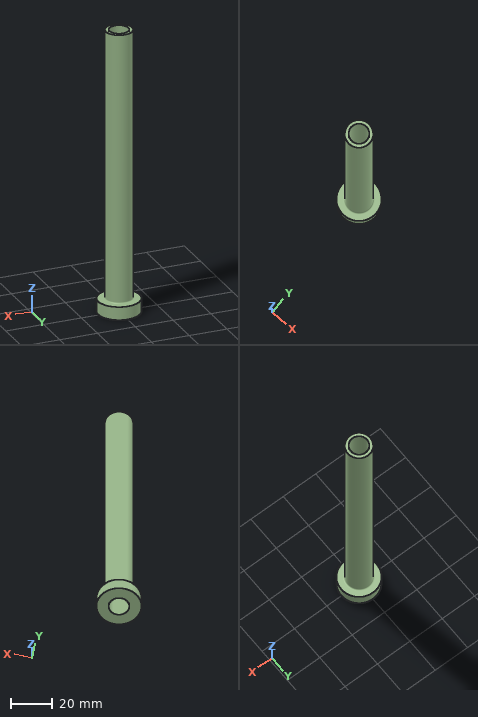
import cadquery as cq

total_length = 150.0
head_diameter = 22.0
head_height = 7.0
shaft_diameter = 14.0
bore_diameter = 10.0
neck_fillet_radius = 0.8

head = cq.Workplane("XY").circle(head_diameter / 2).extrude(head_height)
sleeve = head.faces(">Z").workplane().circle(shaft_diameter / 2).extrude(total_length - head_height)

head_top = sleeve.faces(">Z[-2]")
sleeve = head_top.edges(cq.selectors.RadiusNthSelector(0)).fillet(neck_fillet_radius)

result = sleeve.faces(">Z").workplane().hole(bore_diameter)